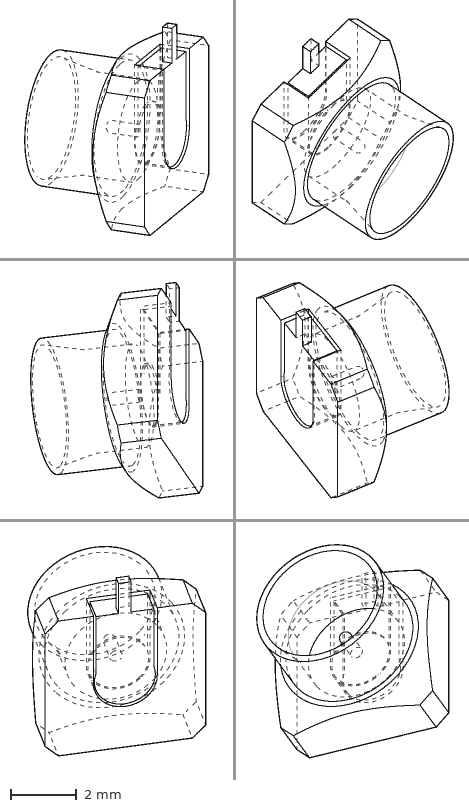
import cadquery as cq
import math


total_length = 4.12
barrel_length = 2.285
flange_width = 5.0
flange_corner = 0.415
flange_half = flange_width / 2
flange_length = total_length - barrel_length

bevel_front_radius = 2.27
bevel_angle = math.radians(30)
bevel_outer_radius = flange_width

barrel_radius = 2.09
mouth_radius = 1.88
bore_radius = 1.58
bore_taper_length = 1.26
bore_depth = 2.84

contact_radius = 0.195
contact_tip = 1.81

slot_length = 0.965
slot_width = 1.98
slot_front = total_length - slot_length

disc_radius = 0.95
block_width = 1.8
block_length = 0.81
block_back = total_length - 0.08
block_drop = 0.08

tail_length = 0.31
tail_width = 0.39
tail_top = 6.04 - flange_half


def box(back, length, width, bottom, top):
    """Box centered on Y, ending at X = back."""
    corner = cq.Vector(back - length, -width / 2, bottom)
    return cq.Workplane(cq.Solid.makeBox(length, width, top - bottom, corner))


def disc(front, back, radius):
    """Cylinder about the X axis from X = front to X = back."""
    return cq.Workplane("YZ", origin=(front, 0, 0)).circle(radius).extrude(back - front)


def revolve_profile(profile):
    """Revolve a closed XY profile about the X axis."""
    return profile.close().revolve(360, (0, 0, 0), (1, 0, 0))


def make_flange():
    block = box(total_length, flange_length, flange_width, -flange_half, flange_half)
    block = block.edges("|X").chamfer(flange_corner)
    bevel_length = (bevel_outer_radius - bevel_front_radius) * math.tan(bevel_angle)
    envelope = revolve_profile(
        cq.Workplane("XY")
        .moveTo(barrel_length, 0)
        .lineTo(barrel_length, bevel_front_radius)
        .lineTo(barrel_length + bevel_length, bevel_outer_radius)
        .lineTo(total_length, bevel_outer_radius)
        .lineTo(total_length, 0)
    )
    return block.intersect(envelope)


def make_barrel():
    return disc(0, barrel_length, barrel_radius)


def make_bore():
    return revolve_profile(
        cq.Workplane("XY")
        .lineTo(0, mouth_radius)
        .lineTo(bore_taper_length, bore_radius)
        .lineTo(bore_depth, bore_radius)
        .lineTo(bore_depth, 0)
    )


def make_contact():
    dome_end = contact_tip + contact_radius
    dome_offset = contact_radius * math.sqrt(0.5)
    return revolve_profile(
        cq.Workplane("XY")
        .moveTo(contact_tip, 0)
        .threePointArc((dome_end - dome_offset, dome_offset), (dome_end, contact_radius))
        .lineTo(bore_depth, contact_radius)
        .lineTo(bore_depth, 0)
    )


def make_slot():
    round_bottom = disc(slot_front, total_length, slot_width / 2)
    return round_bottom.union(box(total_length, slot_length, slot_width, 0, flange_half))


def make_insulator():
    block_top = flange_half - block_drop
    block = box(block_back, block_length, block_width, 0, block_top)
    return disc(slot_front, block_back, disc_radius).union(block)


def make_tail():
    return box(block_back, tail_length, tail_width, 0, tail_top)


shell = make_flange().union(make_barrel()).cut(make_bore()).cut(make_slot())
result = shell.union(make_insulator()).union(make_contact()).union(make_tail())